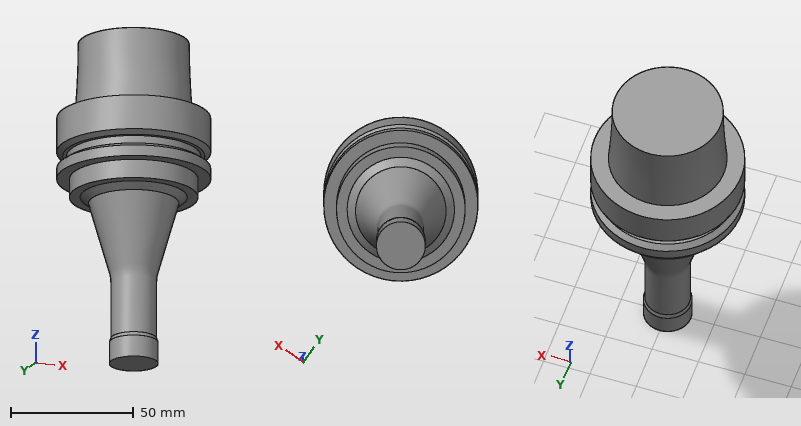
import cadquery as cq

total_height = 137.0
collar_top = 9.0
neck_bottom = 10.7
neck_top = 35.1
cone_bottom = 39.2
cone_top = 68.8
shoulder_bottom = 71.4
flange_bottom = 79.2
groove_bottom = 85.4
groove_top = 89.0
flange_top = 105.2
groove_chamfer_height = 1.6

collar_radius = 20.0 / 2
neck_radius = 18.8 / 2
cone_bottom_radius = 10.0
cone_top_radius = 18.5
shoulder_bevel_radius = 21.9
shoulder_radius = 52.6 / 2
flange_radius = 63.0 / 2
groove_radius = 55.0 / 2
groove_lip_radius = 29.0
shank_base_radius = 24.2
shank_top_radius = 22.7
shank_flare = shank_base_radius - shank_top_radius

profile = (
    cq.Workplane("XZ")
    .lineTo(collar_radius, 0)
    .lineTo(collar_radius, collar_top)
    .lineTo(neck_radius, neck_bottom)
    .lineTo(neck_radius, neck_top)
    .tangentArcPoint((cone_bottom_radius, cone_bottom), relative=False)
    .lineTo(cone_top_radius, cone_top)
    .lineTo(shoulder_bevel_radius, shoulder_bottom)
    .lineTo(shoulder_radius, shoulder_bottom)
    .lineTo(shoulder_radius, flange_bottom)
    .lineTo(flange_radius, flange_bottom)
    .lineTo(flange_radius, groove_bottom - groove_chamfer_height)
    .lineTo(groove_lip_radius, groove_bottom)
    .lineTo(groove_radius, groove_bottom)
    .lineTo(groove_radius, groove_top)
    .lineTo(groove_lip_radius, groove_top)
    .lineTo(flange_radius, groove_top + groove_chamfer_height)
    .lineTo(flange_radius, flange_top)
    .lineTo(0, flange_top)
    .close()
)
body = profile.revolve(360, (0, 0, 0), (0, 1, 0))

shank_profile = (
    cq.Workplane("XZ")
    .moveTo(0, flange_top)
    .lineTo(0, total_height)
    .lineTo(shank_top_radius, total_height)
    .threePointArc(
        (shank_top_radius + shank_flare / 4, (flange_top + total_height) / 2),
        (shank_base_radius, flange_top),
    )
    .close()
)
shank = shank_profile.revolve(360, (0, 0, 0), (0, 1, 0))

result = body.union(shank)